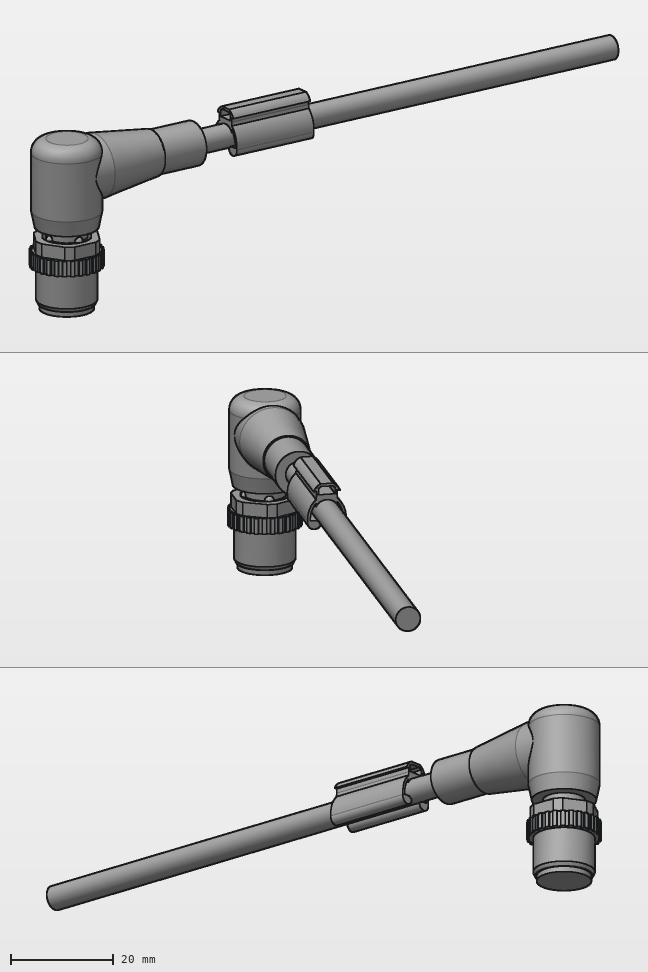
import cadquery as cq
import math


body_radius = 7.0
body_top = 7.0
top_fillet = 2.9
body_taper_z = -7.8
body_bottom_z = -11.1
body_bottom_radius = 6.3
arm_radius = 6.6
cone_start_y = 6.9
cone_end_y = 20.2
cone_end_radius = 4.8
boot_radius = 4.5
boot_end_y = 30.2

cable_radius = 2.5
cable_end_y = 130.0

nut_top_z = -13.2
knurl_top_z = -15.9
knurl_bottom_z = -19.1
barrel_end_z = -26.9
hex_across_flats = 12.5
hex_corner_radius = 6.7
knurl_radius = 7.3
tooth_count = 28
tooth_depth = 0.4
barrel_radius = 6.0
barrel_chamfer_radial = 0.4
barrel_chamfer_height = 0.8

neck_radius = 4.1
collar_radius = 4.8
insert_radius = 5.4
insert_top_z = knurl_bottom_z
carrier_end_z = -28.0
bump_radius = 1.0
bump_count = 4
bump_center_radius = collar_radius - bump_radius

marker_start_y = 37.9
marker_length = 18.4
tube_radius = 2.9
tube_center_z = 3.2
tube_top_z = 5.8
tube_ledge_z = 4.3
tube_wall = 0.5
label_slot_width = 3.3
label_floor_z = 3.6
web_half_width = 2.0
web_bottom_z = 3.5
clip_outer_radius = 5.2
clip_reach = 3.8
clip_center_x = clip_outer_radius - clip_reach
clip_center_z = -1.2
clip_thickness = 0.5
clip_top_z = 2.6
tip_radius = 1.4
tip_center_x = tip_radius - clip_reach
tip_center_z = -2.0
tip_top_z = -1.6


def disc(radius, bottom_z, top_z):
    """Cylinder on the plug axis."""
    return cq.Workplane("XY").workplane(offset=bottom_z).circle(radius).extrude(top_z - bottom_z)


def turned_about_y(points):
    """Solid turned about the cable axis from (radius, y) points."""
    return cq.Workplane("XY").polyline(points).close().revolve(360, (0, 0, 0), (0, 1, 0))


def arc_x(radius, center_x, center_z, z):
    """X of the left side of a circle at height z."""
    return center_x - math.sqrt(radius ** 2 - (z - center_z) ** 2)


def cable_core(end_y):
    """Cylinder of the cable's diameter, from inside the housing to end_y."""
    return turned_about_y([(0, cone_end_y), (cable_radius, cone_end_y), (cable_radius, end_y), (0, end_y)])


def make_housing():
    body = disc(body_radius, body_taper_z, body_top).faces(">Z").edges().fillet(top_fillet)
    skirt = (
        cq.Workplane("XY").workplane(offset=body_bottom_z).circle(body_bottom_radius)
        .workplane(offset=body_taper_z - body_bottom_z).circle(body_radius)
        .loft(ruled=True)
    )
    arm = turned_about_y([
        (0, 0),
        (arm_radius, 0),
        (arm_radius, cone_start_y),
        (cone_end_radius, cone_end_y),
        (boot_radius, cone_end_y),
        (boot_radius, boot_end_y),
        (0, boot_end_y),
    ])
    return body.union(skirt).union(arm).cut(cable_core(boot_end_y))


def make_cable():
    return cable_core(cable_end_y)


def make_knurl():
    """Ring of straight-sided teeth, as wide as the gaps between them."""
    pitch = 360 / tooth_count
    half_angle = math.radians(pitch / 4)
    ring_height = knurl_top_z - knurl_bottom_z
    root_radius = knurl_radius - tooth_depth
    tooth_width = 2 * knurl_radius * math.sin(half_angle)
    teeth = (
        cq.Workplane("XY").workplane(offset=knurl_bottom_z)
        .polarArray(root_radius, 0, 360, tooth_count)
        .rect(2 * tooth_depth, tooth_width)
        .extrude(ring_height)
        .intersect(disc(knurl_radius, knurl_bottom_z, knurl_top_z))
    )
    return disc(root_radius, knurl_bottom_z, knurl_top_z).union(teeth)


def make_carrier():
    neck = disc(neck_radius, nut_top_z, body_bottom_z)
    collar = disc(collar_radius, insert_top_z, nut_top_z)
    insert = disc(insert_radius, carrier_end_z, insert_top_z)
    carrier = neck.union(collar).union(insert)
    for index in range(bump_count):
        angle = 2 * math.pi * index / bump_count
        center = (
            bump_center_radius * math.cos(angle),
            bump_center_radius * math.sin(angle),
            nut_top_z,
        )
        carrier = carrier.union(cq.Workplane("XY").sphere(bump_radius).translate(center))
    return carrier


def make_nut(carrier):
    hexagon_diameter = hex_across_flats / math.cos(math.pi / 6)
    hexagon = (
        cq.Workplane("XY").workplane(offset=knurl_top_z)
        .transformed(rotate=(0, 0, 90))
        .polygon(6, hexagon_diameter).extrude(nut_top_z - knurl_top_z)
        .intersect(disc(hex_corner_radius, knurl_top_z, nut_top_z))
    )
    barrel = disc(barrel_radius, barrel_end_z, knurl_bottom_z)
    barrel = barrel.faces("<Z").edges().chamfer(barrel_chamfer_height, barrel_chamfer_radial)
    return hexagon.union(make_knurl()).union(barrel).cut(carrier)


def marker_plane():
    """Plane of the marker's near end, with X across and Z up."""
    return cq.Workplane("XZ", origin=(0, marker_start_y, 0))


def marker_prism(profile):
    """Extrude a profile drawn in X and Z along the cable."""
    return profile.extrude(-marker_length)


def make_label_tube():
    """Tube with a flat top, on a web that reaches down to the cable."""
    top_x = math.sqrt(tube_radius ** 2 - (tube_top_z - tube_center_z) ** 2)
    ledge_x = -arc_x(tube_radius, 0, tube_center_z, tube_ledge_z)
    diagonal = tube_radius / math.sqrt(2)
    shoulder = (diagonal, tube_center_z + diagonal)
    clip_top_x = -arc_x(clip_outer_radius, clip_center_x, clip_center_z, clip_top_z)
    tube = marker_prism(
        marker_plane()
        .moveTo(-top_x, tube_top_z)
        .lineTo(top_x, tube_top_z)
        .threePointArc(shoulder, (ledge_x, tube_ledge_z))
        .lineTo(web_half_width, tube_ledge_z)
        .lineTo(web_half_width, web_bottom_z)
        .lineTo(clip_top_x, clip_top_z)
        .lineTo(clip_top_x, 0)
        .lineTo(-clip_top_x, 0)
        .lineTo(-clip_top_x, clip_top_z)
        .lineTo(-web_half_width, web_bottom_z)
        .lineTo(-web_half_width, tube_ledge_z)
        .lineTo(-ledge_x, tube_ledge_z)
        .threePointArc((-shoulder[0], shoulder[1]), (-top_x, tube_top_z))
        .close()
    )
    inner_radius = tube_radius - tube_wall
    label_slot = marker_prism(marker_plane().center(0, tube_center_z).circle(inner_radius))
    slot_height = tube_top_z - tube_wall - label_floor_z
    slot_limits = marker_prism(
        marker_plane()
        .center(0, label_floor_z + slot_height / 2)
        .rect(label_slot_width, slot_height)
    )
    return tube.cut(label_slot.intersect(slot_limits))


def make_left_arm():
    """Thin curved arm that ends in a thicker round tip pressed against the cable."""
    clip_height = clip_top_z - tip_center_z
    ring = marker_prism(
        marker_plane()
        .center(clip_center_x, clip_center_z)
        .circle(clip_outer_radius)
        .circle(clip_outer_radius - clip_thickness)
    )
    clip_limits = marker_prism(
        marker_plane()
        .center(-clip_outer_radius / 2, tip_center_z + clip_height / 2)
        .rect(clip_outer_radius, clip_height)
    )
    tip = marker_prism(marker_plane().center(tip_center_x, tip_center_z).circle(tip_radius))
    tip_height = tip_top_z - tip_center_z + tip_radius
    tip_limits = marker_prism(
        marker_plane()
        .center(tip_center_x, tip_top_z - tip_height / 2)
        .rect(2 * tip_radius, tip_height)
    )
    return ring.intersect(clip_limits).union(tip.intersect(tip_limits))


def make_marker():
    left_arm = make_left_arm()
    right_arm = left_arm.mirror("YZ")
    cable_bore = marker_prism(marker_plane().circle(cable_radius))
    return make_label_tube().union(left_arm).union(right_arm).cut(cable_bore)


housing = make_housing()
cable = make_cable()
marker = make_marker()
carrier = make_carrier()
nut = make_nut(carrier)

result = cq.Compound.makeCompound([
    housing.val(),
    cable.val(),
    marker.val(),
    carrier.val(),
    nut.val(),
])